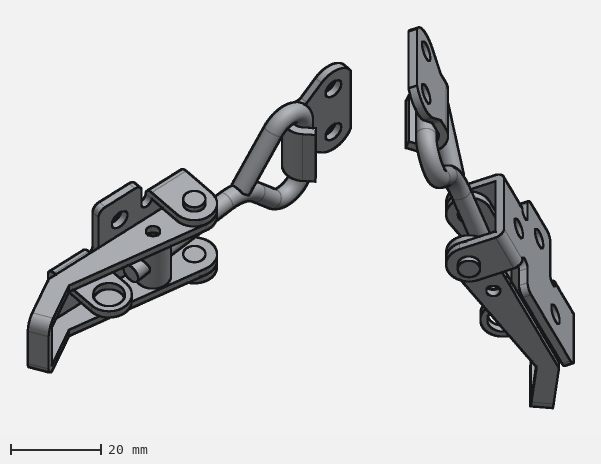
import cadquery as cq
import math


overall_length = 103.0
overall_height = 30.0
sheet = 2.1
screw_hole_radius = 2.3
corner_radius = 2.0

pivot_x = 10.7
ear_radius = 5.0
ear_outer_z = 10.3
ear_inner_z = ear_outer_z - sheet
relief_radius = 1.4
plate_top_y = -ear_radius - 2 * relief_radius
arm_bottom_y = -20.5
plate_half_height = overall_height / 2
base_hole_z = 7.9
center_hole_y = -3.1
arm_hole_y = -14.3
lower_hole_y = -23.3

overall_x = 20.0
eye_radius = 5.0
eye_hole_radius = 3.5
eye_fold_z = 2.0
eye_top_z = eye_fold_z + sheet
eye_top_y = arm_bottom_y - 2 * relief_radius
plate_bottom_y = eye_top_y - 2 * eye_radius
eye_x = overall_x - eye_radius
eye_y = eye_top_y - eye_radius

rivet_radius = 2.5
rivet_outer_z = 11.7

lever_outer_z = ear_inner_z
lever_inner_z = lever_outer_z - sheet
lever_nose_radius = ear_radius
lever_back_x = pivot_x - lever_nose_radius
knee_x = 10.1
knee_y = -35.9
handle_angle = math.radians(30)
handle_width = 4.9
handle_bend_radius = 3.0
lever_hole_radius = 1.5

barrel_x = 9.7
barrel_y = -11.1
barrel_radius = barrel_x - lever_back_x
barrel_bore_radius = 1.2

rod_radius = 2.3
rod_tail = 7.1
elbow_radius = 12.6
loop_x = 5.0
loop_reach = 47.8
loop_bend_radius = 5.6
loop_center_z = 7.1
lower_leg_angle = math.radians(50)
upper_leg_angle = math.radians(46.5)

catch_end_y = 52.9
catch_hole_y = 47.9
catch_hole_z = 7.0
catch_lobe_radius = 5.6
catch_neck_y = 39.9
catch_neck_z = 7.6
catch_neck_fillet = 1.0
hook_outer_radius = 4.9
hook_center_y = 36.9
hook_lip_angle = math.radians(45)
hook_lip_length = 2.9


def polar(center, radius, angle):
    """Point at the given radius and angle from a centre point."""
    return center[0] + radius * math.cos(angle), center[1] + radius * math.sin(angle)


def tangent_angle(center, radius, point, side):
    """Angle on a circle where the tangent line from an outside point touches it."""
    dx = point[0] - center[0]
    dy = point[1] - center[1]
    return math.atan2(dy, dx) + side * math.acos(radius / math.hypot(dx, dy))


def slab(x_range, y_range, z_range):
    """Box between the given limits."""
    size = [high - low for low, high in (x_range, y_range, z_range)]
    low_corner = (x_range[0], y_range[0], z_range[0])
    return cq.Workplane("XY").box(*size, centered=False).translate(low_corner)


def post(x, y, radius, z_low, z_high):
    """Cylinder along Z."""
    return cq.Workplane("XY", origin=(x, y, z_low)).circle(radius).extrude(z_high - z_low)


def plate_holes(points, radius):
    """Cutters along X through a sheet that lies on the mounting face."""
    return cq.Workplane("YZ").pushPoints(points).circle(radius).extrude(sheet)


def make_base():
    plate_outline = [
        (ear_radius, ear_inner_z),
        (plate_top_y, ear_inner_z),
        (plate_top_y, plate_half_height),
        (arm_bottom_y, plate_half_height),
        (arm_bottom_y, eye_fold_z),
        (plate_bottom_y, eye_fold_z),
        (plate_bottom_y, -plate_half_height),
        (plate_top_y, -plate_half_height),
        (plate_top_y, -ear_inner_z),
        (ear_radius, -ear_inner_z),
    ]
    plate = cq.Workplane("YZ").polyline(plate_outline).close().extrude(sheet)
    outer_corners = plate.edges("|X").edges("<Z or >Z")
    plate = outer_corners.fillet(corner_radius)

    ear_y = (-ear_radius, ear_radius)
    ears = slab((0, pivot_x), ear_y, (-ear_outer_z, ear_outer_z)).edges("|Y and <X").fillet(sheet)
    ears = ears.union(post(pivot_x, 0, ear_radius, -ear_outer_z, ear_outer_z))
    ears = ears.cut(slab((sheet, pivot_x + ear_radius), ear_y, (-ear_inner_z, ear_inner_z)))

    eye_y_range = (plate_bottom_y, eye_top_y)
    eye = slab((0, eye_x), eye_y_range, (0, eye_top_z)).edges("|Y and <X and >Z").fillet(sheet)
    eye = eye.union(post(eye_x, eye_y, eye_radius, 0, eye_top_z))
    eye = eye.cut(slab((sheet, overall_x), eye_y_range, (0, eye_fold_z)))
    eye = eye.cut(post(eye_x, eye_y, eye_hole_radius, 0, eye_top_z))

    ear_relief_y = -ear_radius - relief_radius
    eye_relief_y = arm_bottom_y - relief_radius
    reliefs = [(ear_relief_y, ear_inner_z), (ear_relief_y, -ear_inner_z), (eye_relief_y, eye_fold_z)]
    screw_holes = [(center_hole_y, 0), (arm_hole_y, base_hole_z), (lower_hole_y, -base_hole_z)]

    base = plate.union(ears).union(eye)
    base = base.cut(plate_holes(reliefs, relief_radius))
    base = base.cut(plate_holes(screw_holes, screw_hole_radius))
    return base.cut(post(pivot_x, 0, rivet_radius, -ear_outer_z, ear_outer_z))


def make_rivet(side):
    """Rivet through one ear and one lever side; side is +1 for the upper one, -1 for the lower."""
    rivet = post(pivot_x, 0, rivet_radius, lever_inner_z, rivet_outer_z)
    return rivet if side > 0 else rivet.mirror("XY")


def make_lever():
    pivot = (pivot_x, 0)
    knee = (knee_x, knee_y)
    along = (math.sin(handle_angle), -math.cos(handle_angle))
    across = (-math.cos(handle_angle), -math.sin(handle_angle))
    tip_y = catch_end_y - overall_length
    handle_length = (knee_y + handle_width * across[1] - tip_y) / -along[1]
    tip_front = (knee_x + handle_length * along[0], knee_y + handle_length * along[1])
    tip_back = (tip_front[0] + handle_width * across[0], tip_front[1] + handle_width * across[1])
    heel_run = (tip_back[0] - lever_back_x) / math.tan(handle_angle)
    heel = (lever_back_x, tip_back[1] + heel_run)
    nose_end = tangent_angle(pivot, lever_nose_radius, knee, 1)

    def side_profile(z_low, z_high):
        return (
            cq.Workplane("XY", origin=(0, 0, z_low))
            .moveTo(lever_back_x, 0)
            .threePointArc((pivot_x, lever_nose_radius), polar(pivot, lever_nose_radius, nose_end))
            .lineTo(*knee)
            .lineTo(*tip_front)
            .lineTo(*tip_back)
            .lineTo(*heel)
            .close()
            .extrude(z_high - z_low)
        )

    lever = side_profile(-lever_outer_z, lever_outer_z)
    tip_plane = cq.Plane(origin=(*tip_front, 0), xDir=across, normal=along)
    tip_edges = lever.faces(cq.selectors.DirectionMinMaxSelector(cq.Vector(*along, 0))).edges("not |Z")
    lever = tip_edges.fillet(handle_bend_radius)
    opening = side_profile(-lever_inner_z, lever_inner_z)
    cross_bar = cq.Workplane(tip_plane).rect(4 * handle_width, 2 * lever_outer_z).extrude(-sheet)
    lever = lever.cut(opening.cut(cross_bar))

    lever = lever.cut(post(pivot_x, 0, rivet_radius, -lever_outer_z, lever_outer_z))
    return lever.cut(post(barrel_x, barrel_y, lever_hole_radius, -lever_outer_z, lever_outer_z))


def make_rod():
    loop_y = loop_reach - loop_bend_radius

    def leg_start(leg_angle):
        """Distance along the rod at which a leg's centreline crosses the rod axis."""
        rise = loop_center_z + loop_bend_radius / math.cos(leg_angle)
        return loop_y - rise / math.tan(leg_angle)

    elbow_start = leg_start(lower_leg_angle) - elbow_radius * math.tan(lower_leg_angle / 2)
    elbow = (elbow_start, -elbow_radius)
    lower = (loop_y, -loop_center_z)
    upper = (loop_y, loop_center_z)
    quarter = math.pi / 2
    elbow_end = quarter - lower_leg_angle
    lower_start = -quarter - lower_leg_angle
    upper_end = quarter + upper_leg_angle
    leg_top = polar(upper, loop_bend_radius, upper_end)

    centerline = (
        cq.Workplane("YZ")
        .moveTo(-rod_tail, 0)
        .lineTo(elbow_start, 0)
        .threePointArc(
            polar(elbow, elbow_radius, (quarter + elbow_end) / 2),
            polar(elbow, elbow_radius, elbow_end),
        )
        .lineTo(*polar(lower, loop_bend_radius, lower_start))
        .threePointArc(
            polar(lower, loop_bend_radius, lower_start / 2),
            polar(lower, loop_bend_radius, 0),
        )
        .lineTo(loop_reach, loop_center_z)
        .threePointArc(polar(upper, loop_bend_radius, upper_end / 2), leg_top)
    )
    rod = cq.Workplane("XZ", origin=(0, -rod_tail, 0)).circle(rod_radius).sweep(centerline)

    leg_run = (0, leg_start(upper_leg_angle) - leg_top[0], -leg_top[1])
    leg_plane = cq.Plane(origin=(0, *leg_top), xDir=(1, 0, 0), normal=leg_run)
    leg = cq.Workplane(leg_plane).circle(rod_radius).extrude(math.hypot(*leg_run))
    rod = rod.union(leg)

    tilt = math.degrees(math.asin((barrel_x - loop_x) / loop_reach))
    return rod.rotate((0, 0, 0), (0, 0, 1), tilt).translate((barrel_x, barrel_y, 0))


def make_barrel(rod):
    barrel = post(barrel_x, barrel_y, barrel_radius, -lever_inner_z, lever_inner_z)
    bore = post(barrel_x, barrel_y, barrel_bore_radius, -lever_inner_z, lever_inner_z)
    return barrel.cut(bore).cut(rod)


def make_catch():
    hook_center = (hook_outer_radius, hook_center_y)
    hook_inner_radius = hook_outer_radius - sheet
    lip_turn = hook_lip_angle - math.pi / 2
    hook_middle = (lip_turn - math.pi) / 2
    lip_x = hook_lip_length * math.cos(hook_lip_angle)
    lip_y = hook_lip_length * math.sin(hook_lip_angle)
    outer_lip = polar(hook_center, hook_outer_radius, lip_turn)
    inner_lip = polar(hook_center, hook_inner_radius, lip_turn)
    strip = (
        cq.Workplane("XY", origin=(0, 0, -catch_neck_z))
        .moveTo(0, catch_neck_y)
        .lineTo(0, hook_center_y)
        .threePointArc(polar(hook_center, hook_outer_radius, hook_middle), outer_lip)
        .line(lip_x, lip_y)
        .lineTo(inner_lip[0] + lip_x, inner_lip[1] + lip_y)
        .lineTo(*inner_lip)
        .threePointArc(
            polar(hook_center, hook_inner_radius, hook_middle),
            (sheet, hook_center_y),
        )
        .lineTo(sheet, catch_neck_y)
        .close()
        .extrude(2 * catch_neck_z)
    )

    lobe = (catch_hole_y, catch_hole_z)
    neck = (catch_neck_y, catch_neck_z)
    flat_z = catch_hole_z + math.sqrt(catch_lobe_radius**2 - (catch_end_y - catch_hole_y) ** 2)
    shoulder = polar(lobe, catch_lobe_radius, tangent_angle(lobe, catch_lobe_radius, neck, -1))
    lobe_top = (catch_hole_y, catch_hole_z + catch_lobe_radius)
    flat = (
        cq.Workplane("YZ")
        .moveTo(hook_center_y, -catch_neck_z)
        .lineTo(catch_neck_y, -catch_neck_z)
        .lineTo(shoulder[0], -shoulder[1])
        .threePointArc((lobe_top[0], -lobe_top[1]), (catch_end_y, -flat_z))
        .lineTo(catch_end_y, flat_z)
        .threePointArc(lobe_top, shoulder)
        .lineTo(*neck)
        .lineTo(hook_center_y, catch_neck_z)
        .close()
        .extrude(sheet)
    )
    catch = flat.union(strip)
    neck_corners = cq.selectors.BoxSelector(
        (0, catch_neck_y - sheet, -catch_lobe_radius - catch_hole_z),
        (sheet, catch_neck_y + sheet / 2, catch_lobe_radius + catch_hole_z),
    )
    catch = catch.edges("|X").edges(neck_corners).fillet(catch_neck_fillet)
    holes = [(catch_hole_y, catch_hole_z), (catch_hole_y, -catch_hole_z)]
    return catch.cut(plate_holes(holes, screw_hole_radius))


base = make_base()
rivets = [make_rivet(side) for side in (1, -1)]
lever = make_lever()
rod = make_rod()
barrel = make_barrel(rod)
catch = make_catch()

result = cq.Compound.makeCompound(
    [
        base.val(),
        *[rivet.val() for rivet in rivets],
        lever.val(),
        rod.val(),
        barrel.val(),
        catch.val(),
    ]
)